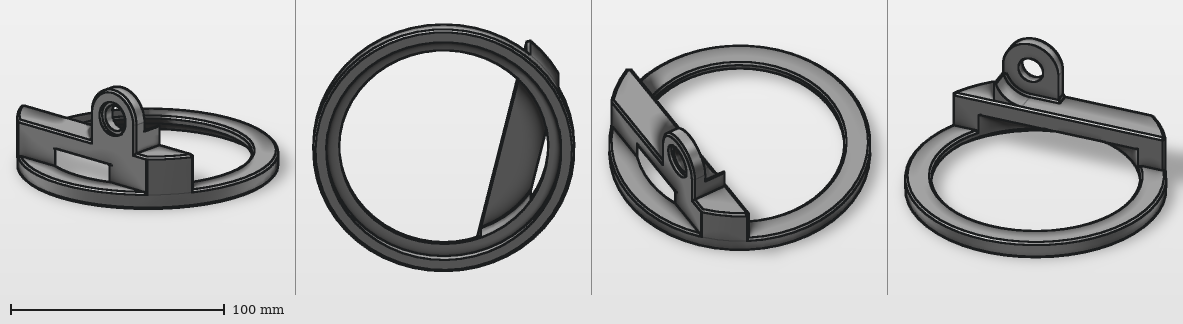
import cadquery as cq
import math

bevel = 1.1

ring_radius = 61.1
bore_radius = 48.9
ring_height = 8.4
seat_radius = 55.0
lip_height = 3.5

bar_front = -45.9
bar_back = -27.4
bar_top = 25.9
recess_top = 17.1
recess_bevel = 0.4

tab_radius = 14.0
tab_thickness = 6.7
tab_back = bar_front + tab_thickness
pivot_x = 19.0
tab_left = pivot_x - tab_radius
tab_right = pivot_x + tab_radius
pivot_z = bar_top + tab_radius
hole_radius = 6.2
counterbore_radius = 8.2
counterbore_depth = 1.8

stop_top = 35.3
stop_back = bar_back - bevel


def cylinder_along_y(radius, y_start, length):
    """Cylinder on the pivot axis, running from y_start towards +Y."""
    return cq.Workplane("XZ", origin=(pivot_x, y_start, pivot_z)).circle(radius).extrude(-length)


def box_between(x, y, z):
    """Box spanning the given (low, high) pair on each axis."""
    size = (x[1] - x[0], y[1] - y[0], z[1] - z[0])
    return cq.Workplane("XY", origin=(x[0], y[0], z[0])).box(*size, centered=False)


def make_ring():
    """Ring with an inner lip at the top; the lip is bevelled only behind the crossbar."""
    ring = cq.Workplane("XY").circle(ring_radius).extrude(ring_height)
    ring = ring.faces("<Z or >Z").edges().chamfer(bevel)
    ring = ring.cut(cq.Workplane("XY").circle(bore_radius).extrude(ring_height))
    ring = ring.cut(cq.Workplane("XY").circle(seat_radius).extrude(ring_height - lip_height))
    bevel_profile = [
        (0, ring_height - bevel),
        (bore_radius, ring_height - bevel),
        (bore_radius + bevel, ring_height),
        (0, ring_height),
    ]
    lip_bevel = cq.Workplane("XZ").polyline(bevel_profile).close().revolve(360, (0, 0), (0, 1))
    behind_bar = box_between((-ring_radius, ring_radius), (bar_back, ring_radius), (0, ring_height))
    return ring.cut(lip_bevel.intersect(behind_bar))


def half_chord(y):
    """Half the width of the ring's outer circle at height y."""
    return math.sqrt(ring_radius**2 - y**2)


def corner_setback(interior_angle):
    """Distance from the corner at which a bevel cuts each side of it."""
    return bevel / math.tan(interior_angle / 2)


def corner_edges(y):
    """Selector for the bar's upright edges in the plane at the given y."""
    margin = 0.1
    low = (-ring_radius, y - margin, 0)
    high = (ring_radius, y + margin, bar_top)
    return cq.selectors.BoxSelector(low, high) & cq.selectors.ParallelDirSelector(cq.Vector(0, 0, 1))


def make_bar():
    front_x = half_chord(bar_front)
    back_x = half_chord(bar_back)
    middle_y = (bar_front + bar_back) / 2
    middle_x = half_chord(middle_y)
    bar = (
        cq.Workplane("XY", origin=(0, 0, ring_height - bevel))
        .moveTo(-front_x, bar_front)
        .lineTo(front_x, bar_front)
        .threePointArc((middle_x, middle_y), (back_x, bar_back))
        .lineTo(-back_x, bar_back)
        .threePointArc((-middle_x, middle_y), (-front_x, bar_front))
        .close()
        .extrude(bar_top - ring_height + bevel)
    )
    front_angle = math.pi - math.acos(-bar_front / ring_radius)
    back_angle = math.acos(-bar_back / ring_radius)
    bar = bar.edges(corner_edges(bar_front)).chamfer(corner_setback(front_angle))
    bar = bar.edges(corner_edges(bar_back)).chamfer(corner_setback(back_angle))
    return bar.faces(">Z").edges().chamfer(bevel)


def make_recess():
    """Continuation of the ring bore into the bar, with a bevelled ceiling."""
    recess = cq.Workplane("XY").circle(bore_radius).extrude(recess_top)
    return recess.faces(">Z").edges().chamfer(recess_bevel)


def make_tab():
    leg_bottom = bar_top - 2 * bevel
    tab = (
        cq.Workplane("XZ", origin=(0, bar_front, 0))
        .moveTo(tab_left, leg_bottom)
        .lineTo(tab_right, leg_bottom)
        .lineTo(tab_right, pivot_z)
        .threePointArc((pivot_x, pivot_z + tab_radius), (tab_left, pivot_z))
        .close()
        .extrude(-tab_thickness)
    )
    return tab.faces("<Y").edges("not <Z").chamfer(bevel)


def make_stop():
    """Block hollowed by the swing of the mating arm, leaving a bevel along the tab."""
    foot_left = tab_left - bevel
    block = box_between((foot_left, tab_right), (tab_back, stop_back), (bar_top - bevel, stop_top))
    swing = cylinder_along_y(tab_radius, tab_back, stop_back - tab_back)
    left_clearance = box_between((foot_left - tab_radius, pivot_x), (tab_back, stop_back), (bar_top, pivot_z))
    swing = swing.union(left_clearance)
    swing = swing.faces("<Y").edges().chamfer(bevel)
    return block.cut(swing)


def make_foot():
    """Bevel filling the corner between the left side of the tab and the bar."""
    triangle = [(tab_left - bevel, bar_top), (tab_left, bar_top), (tab_left, bar_top + bevel)]
    foot = cq.Workplane("XZ", origin=(0, bar_front + bevel, 0)).polyline(triangle).close()
    return foot.extrude(bar_front + bevel - tab_back)


def make_pivot_hole():
    hole = cylinder_along_y(hole_radius, bar_front, tab_thickness)
    return hole.union(cylinder_along_y(counterbore_radius, bar_front, counterbore_depth))


bar = make_bar().cut(make_recess())
tab = make_tab().union(make_stop()).union(make_foot())
result = make_ring().union(bar).union(tab).cut(make_pivot_hole())